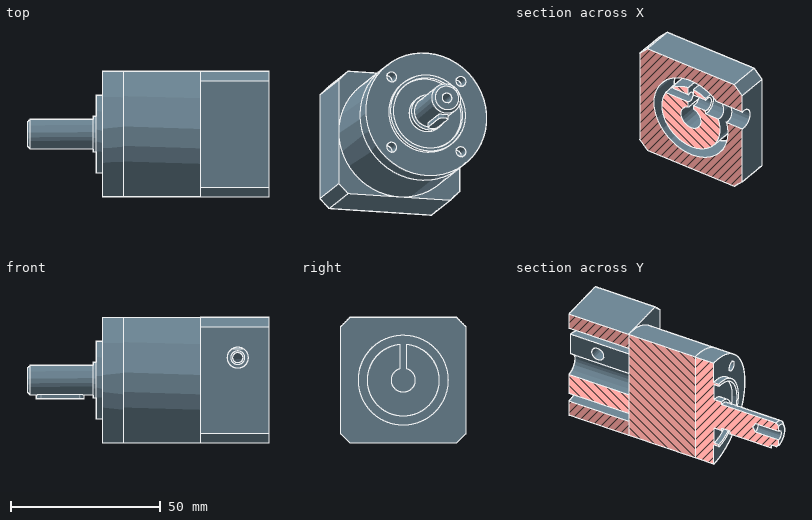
import cadquery as cq
import math


collar_front = 21.95
pilot_front = 23.0
flange_front = 25.0
ring_front = 32.1
adapter_front = 57.7
adapter_back = 80.7

body_width = 42.0
pilot_diameter = 26.0
recess_diameter = 24.0
recess_depth = 1.8
collar_diameter = 12.0
shaft_diameter = 10.0
shaft_chamfer = 1.0
center_hole_diameter = 3.3
center_hole_depth = 8.95
mount_hole_diameter = 3.4
mount_hole_depth = 5.65
mount_hole_spacing = 24.05
drill_point_angle = 118.0

key_start = 3.0
key_length = 16.0
key_width = 3.2
key_bottom = -6.2

corner_chamfer = 3.2
adapter_bore_diameter = 30.0

hub_diameter = 24.0
hub_bore_diameter = 8.0
slot_width = 2.0
screw_x = 70.2
screw_z = 7.5
screw_seat_y = -6.05
screw_head_diameter = 7.0
screw_clearance_diameter = 4.6
screw_thread_diameter = 3.4


def x_cylinder(diameter, start, end):
    """Cylinder on the gearbox axis between two X positions."""
    return cq.Workplane("YZ", origin=(start, 0, 0)).circle(diameter / 2).extrude(end - start)


def screw_cylinder(diameter, start, end):
    """Cylinder on the clamp screw axis between two Y positions."""
    plane = cq.Plane(origin=(screw_x, start, screw_z), xDir=(1, 0, 0), normal=(0, 1, 0))
    return cq.Workplane(plane).circle(diameter / 2).extrude(end - start)


def drilled_hole(diameter, depth, x, y, z):
    """Blind hole toward +X with a conical drill point below its full-diameter depth."""
    radius = diameter / 2
    point_length = radius / math.tan(math.radians(drill_point_angle / 2))
    half_section = (
        cq.Workplane("XY", origin=(x, y, z))
        .polyline([(0, 0), (0, radius), (depth, radius), (depth + point_length, 0)])
        .close()
    )
    return half_section.revolve(360, (0, 0, 0), (1, 0, 0))


def make_key():
    """Round-ended key, reaching from the shaft axis to its flat bottom."""
    return (
        cq.Workplane("XY", origin=(key_start + key_length / 2, 0, key_bottom))
        .slot2D(key_length, key_width)
        .extrude(-key_bottom)
    )


def make_output_unit():
    """Front flange carrying the collar, the chamfered shaft and its key."""
    flange = x_cylinder(body_width, flange_front, ring_front)
    pilot = x_cylinder(pilot_diameter, pilot_front, flange_front)
    recess = x_cylinder(recess_diameter, pilot_front, pilot_front + recess_depth)
    collar = x_cylinder(collar_diameter, collar_front, flange_front)
    shaft = x_cylinder(shaft_diameter, 0, flange_front).faces("<X").chamfer(shaft_chamfer)

    unit = flange.union(pilot).cut(recess).union(collar).union(shaft).union(make_key())
    unit = unit.cut(drilled_hole(center_hole_diameter, center_hole_depth, 0, 0, 0))
    for y in (-mount_hole_spacing / 2, mount_hole_spacing / 2):
        for z in (-mount_hole_spacing / 2, mount_hole_spacing / 2):
            unit = unit.cut(drilled_hole(mount_hole_diameter, mount_hole_depth, flange_front, y, z))
    return unit


def make_ring_gear():
    """Plain cylindrical housing between the flange and the adapter."""
    return x_cylinder(body_width, ring_front, adapter_front)


def make_adapter():
    """Square motor adapter with cut corners, a through bore and a screw access hole."""
    block = (
        cq.Workplane("YZ", origin=(adapter_front, 0, 0))
        .rect(body_width, body_width)
        .extrude(adapter_back - adapter_front)
        .edges("|X")
        .chamfer(corner_chamfer)
    )
    bore = x_cylinder(adapter_bore_diameter, adapter_front, adapter_back)
    access_hole = screw_cylinder(screw_head_diameter, -body_width / 2, 0)
    return block.cut(bore).cut(access_hole)


def make_clamp_hub():
    """Split hub with a counterbored clamp screw hole across its slot."""
    radius = hub_diameter / 2
    hub = x_cylinder(hub_diameter, adapter_front, adapter_back)
    bore = x_cylinder(hub_bore_diameter, adapter_front, adapter_back)
    slot = (
        cq.Workplane("XY", origin=(adapter_front, 0, 0))
        .box(adapter_back - adapter_front, slot_width, radius, centered=(False, True, False))
    )
    head_seat = screw_cylinder(screw_head_diameter, -radius, screw_seat_y)
    clearance_hole = screw_cylinder(screw_clearance_diameter, screw_seat_y, 0)
    thread_hole = screw_cylinder(screw_thread_diameter, 0, radius)
    hub = hub.cut(bore).cut(slot)
    return hub.cut(head_seat).cut(clearance_hole).cut(thread_hole)


output_unit = make_output_unit()
ring_gear = make_ring_gear()
adapter = make_adapter()
clamp_hub = make_clamp_hub()

result = cq.Compound.makeCompound(
    [output_unit.val(), ring_gear.val(), adapter.val(), clamp_hub.val()]
)